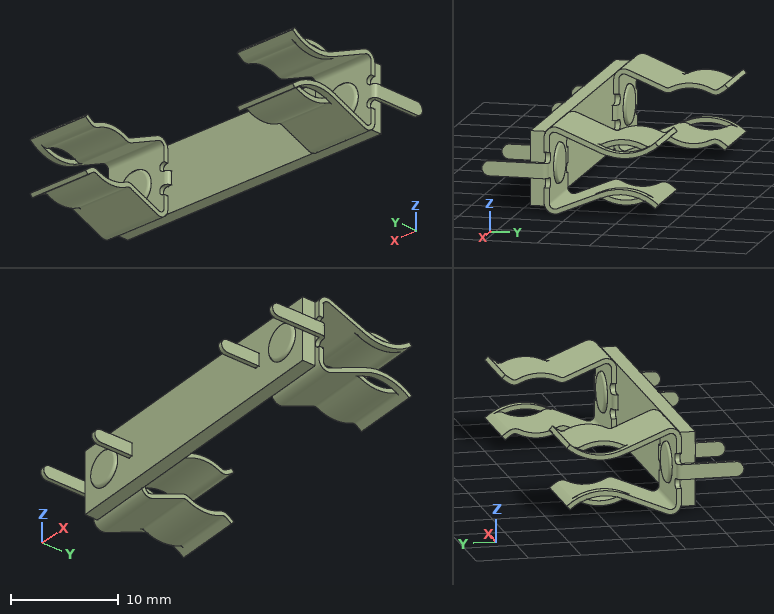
import cadquery as cq
import math


OVERALL_LENGTH = 35.1

PLATE_LENGTH = 32.92
PLATE_HEIGHT = 7.13
PLATE_THICKNESS = 1.47

SHEET = 0.5
CLIP_WIDTH = 7.23

BASE_HALF_HEIGHT = 3.12
BASE_BEND_RADIUS = 0.77
ARM_SLOPE = 22.4
ARM_LENGTH = 4.55
MOUTH_RADIUS = 5.1
MOUTH_FLARE = 40.8

BULGE_RADIUS = 4.28
BULGE_RISE = 1.15
BULGE_BEND_RADIUS = 0.75
PLAIN_STRIP_WIDTH = 0.77

LEG_WIDTH = 1.45
LEG_REACH = 5.85
RELIEF_HALF_SPAN = 1.7
RELIEF_DEPTH = 0.55

RIVET_HEAD_DIAMETER = 3.9
RIVET_HEAD_HEIGHT = 0.3
RIVET_HEAD_ROUNDING = 0.28
RIVET_SHANK_DIAMETER = 1.95

CLIP_OFFSET = OVERALL_LENGTH / 2 - SHEET - CLIP_WIDTH / 2
LEG_OFFSET = CLIP_WIDTH / 2 + SHEET / 2


def cylinder_along_y(diameter, y_start, y_end):
    return (
        cq.Workplane("XZ", origin=(0, y_start, 0))
        .circle(diameter / 2)
        .extrude(y_start - y_end)
    )


def step_from(point, distance, direction):
    """Point at a distance from another, in a direction in degrees from +Y towards +Z."""
    angle = math.radians(direction)
    return (point[0] + distance * math.cos(angle), point[1] + distance * math.sin(angle))


def stations_along(steps):
    """Points on the middle of the sheet, each with its heading, starting up from the base's centre.

    A straight adds its end. A bend adds its halfway point and its end.
    """
    point = (SHEET / 2, 0)
    heading = 90
    stations = [(point, heading)]
    for length, turn, radius in steps:
        if turn:
            start, start_heading = point, heading
            for part in (0.5, 1):
                chord = 2 * radius * math.sin(math.radians(abs(turn) * part / 2))
                point = step_from(start, chord, start_heading + turn * part / 2)
                heading = start_heading + turn * part
                stations.append((point, heading))
        else:
            point = step_from(point, length, heading)
            stations.append((point, heading))
    return stations


def draw_side(sketch, points, turns):
    """Continue the sketch along one face of the sheet."""
    remaining = iter(points)
    for turn in turns:
        if turn:
            halfway = next(remaining)
            sketch = sketch.threePointArc(halfway, next(remaining))
        else:
            sketch = sketch.lineTo(*next(remaining))
    return sketch


def bent_strip(steps, x_start, width):
    """Bent strip of sheet metal that follows the steps, extruded along X."""
    stations = stations_along(steps)
    turns = [turn for _, turn, _ in steps]
    left_face = [step_from(point, SHEET / 2, heading + 90) for point, heading in stations]
    right_face = [step_from(point, SHEET / 2, heading - 90) for point, heading in stations]
    right_face.reverse()
    sketch = cq.Workplane("YZ", origin=(x_start, 0, 0)).moveTo(*left_face[0])
    sketch = draw_side(sketch, left_face[1:], turns)
    sketch = sketch.lineTo(*right_face[0])
    sketch = draw_side(sketch, right_face[1:], reversed(turns))
    return sketch.close().extrude(width)


def straight(length):
    return (length, 0, 0)


def bend(turn, radius):
    return (0, turn, radius)


def triangle_angle(opposite, side_a, side_b):
    """Angle in degrees of a triangle, from the law of cosines."""
    cosine = (side_a**2 + side_b**2 - opposite**2) / (2 * side_a * side_b)
    return math.degrees(math.acos(cosine))


def plain_arm_steps():
    return [
        straight(BASE_HALF_HEIGHT),
        bend(-90 - ARM_SLOPE, BASE_BEND_RADIUS),
        straight(ARM_LENGTH),
        bend(ARM_SLOPE + MOUTH_FLARE, MOUTH_RADIUS),
    ]


def bulged_arm_steps():
    """The same arm with its mouth arc interrupted by a bulge that curves the other way."""
    slope = math.radians(ARM_SLOPE)
    centre_gap = MOUTH_RADIUS + BULGE_RADIUS - BULGE_RISE
    bend_to_bulge = BULGE_RADIUS + BULGE_BEND_RADIUS
    bend_to_mouth = MOUTH_RADIUS - BULGE_BEND_RADIUS

    across = centre_gap * math.cos(slope) - bend_to_mouth
    along = math.sqrt(bend_to_bulge**2 - across**2)
    first_turn = math.degrees(math.atan2(along, across))
    shortened_arm = ARM_LENGTH + centre_gap * math.sin(slope) - along

    mouth_angle = triangle_angle(bend_to_bulge, bend_to_mouth, centre_gap)
    bulge_angle = triangle_angle(bend_to_mouth, bend_to_bulge, centre_gap)

    return [
        straight(BASE_HALF_HEIGHT),
        bend(-90 - ARM_SLOPE, BASE_BEND_RADIUS),
        straight(shortened_arm),
        bend(first_turn, BULGE_BEND_RADIUS),
        bend(-(first_turn - ARM_SLOPE) - bulge_angle, BULGE_RADIUS),
        bend(bulge_angle + mouth_angle, BULGE_BEND_RADIUS),
        bend(MOUTH_FLARE - mouth_angle, MOUTH_RADIUS),
    ]


def upper_half():
    """Upper half of the bent sheet, with its outer edge at -X."""
    outer_edge = -CLIP_WIDTH / 2
    plain = bent_strip(plain_arm_steps(), outer_edge, PLAIN_STRIP_WIDTH)
    bulged = bent_strip(
        bulged_arm_steps(), outer_edge + PLAIN_STRIP_WIDTH, CLIP_WIDTH - PLAIN_STRIP_WIDTH
    )
    return plain.union(bulged)


def leg(side):
    """Solder leg bent down from the base's edge on the given side (-1 or 1)."""
    edge = side * CLIP_WIDTH / 2
    outside = edge + side * SHEET
    half_width = LEG_WIDTH / 2
    corner_middle = SHEET * math.sqrt(0.5)
    corner = (
        cq.Workplane("XY", origin=(0, 0, -half_width))
        .moveTo(edge, 0)
        .lineTo(outside, 0)
        .threePointArc((edge + side * corner_middle, corner_middle), (edge, SHEET))
        .close()
        .extrude(LEG_WIDTH)
    )
    blade = (
        cq.Workplane("YZ", origin=(min(edge, outside), 0, 0))
        .moveTo(0, half_width)
        .lineTo(half_width - LEG_REACH, half_width)
        .threePointArc((-LEG_REACH, 0), (half_width - LEG_REACH, -half_width))
        .lineTo(0, -half_width)
        .close()
        .extrude(SHEET)
    )
    return blade.union(corner)


def relief_slots():
    """Round-ended slots in the base, either side of each leg."""
    width = RELIEF_HALF_SPAN - LEG_WIDTH / 2
    centre_z = (RELIEF_HALF_SPAN + LEG_WIDTH / 2) / 2
    places = [(x, z) for x in (-CLIP_WIDTH / 2, CLIP_WIDTH / 2) for z in (-centre_z, centre_z)]
    return (
        cq.Workplane("XZ", origin=(0, SHEET, 0))
        .pushPoints(places)
        .slot2D(2 * RELIEF_DEPTH, width)
        .extrude(SHEET)
    )


def rivet():
    """Rivet with a rounded head on the base and another on the plate's front face."""
    front = -PLATE_THICKNESS
    back_head = cylinder_along_y(RIVET_HEAD_DIAMETER, SHEET, SHEET + RIVET_HEAD_HEIGHT)
    front_head = cylinder_along_y(RIVET_HEAD_DIAMETER, front - RIVET_HEAD_HEIGHT, front)
    shank = cylinder_along_y(RIVET_SHANK_DIAMETER, front, SHEET)
    back_head = back_head.faces(">Y").edges().fillet(RIVET_HEAD_ROUNDING)
    front_head = front_head.faces("<Y").edges().fillet(RIVET_HEAD_ROUNDING)
    return shank.union(back_head).union(front_head)


def clip():
    """Spring clip with its legs and rivet, centred on X = 0, outer edge at -X."""
    upper = upper_half()
    body = upper.union(upper.mirror("XY")).cut(relief_slots())
    for side in (-1, 1):
        body = body.union(leg(side))
    return body.union(rivet())


def plate():
    """Flat plate with a rivet hole and a leg slot for each clip."""
    body = cq.Workplane("XY").box(PLATE_LENGTH, PLATE_THICKNESS, PLATE_HEIGHT)
    body = body.translate((0, -PLATE_THICKNESS / 2, 0))
    rivet_hole = cylinder_along_y(RIVET_SHANK_DIAMETER, -PLATE_THICKNESS, 0)
    leg_slot = cq.Workplane("XY").box(SHEET, 2 * PLATE_THICKNESS, LEG_WIDTH)
    for side in (-1, 1):
        body = body.cut(rivet_hole.translate((side * CLIP_OFFSET, 0, 0)))
        body = body.cut(leg_slot.translate((side * (CLIP_OFFSET - LEG_OFFSET), 0, 0)))
    return body


left_clip = clip().translate((-CLIP_OFFSET, 0, 0))
clips = [left_clip, left_clip.mirror("YZ")]

result = cq.Compound.makeCompound([plate().val(), *[each.val() for each in clips]])